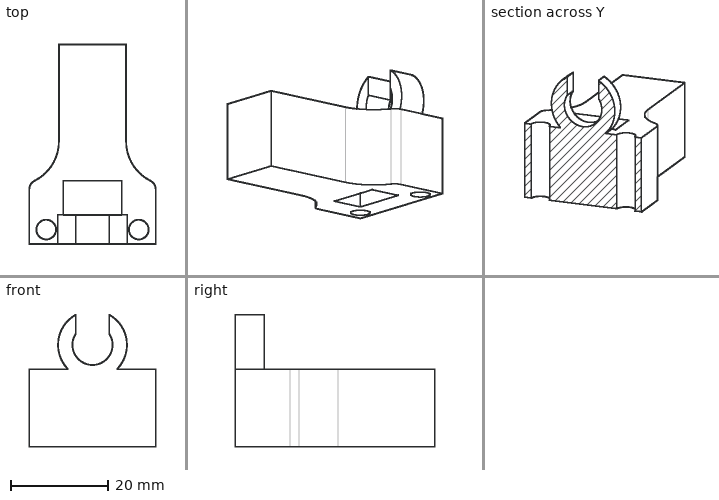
import cadquery as cq
import math

body_width = 26.0
body_length = 41.03
body_height = 16.0
stem_width = 13.85

shoulder_radius = 2.0
neck_radius = 9.0
shoulder_y = 11.25

window_width = 12.0
window_front = 6.0
window_back = 13.0

hole_diameter = 4.0
hole_spacing = 19.0
hole_y = 3.0

clip_inner_radius = 4.1
clip_wall = 3.0
clip_depth = 6.0
clip_gap = 6.85
total_height = 27.18

clip_outer_radius = clip_inner_radius + clip_wall
clip_center_z = total_height - math.sqrt(clip_outer_radius**2 - (clip_gap / 2) ** 2)


def make_body():
    """Extruded block: wide front, tangent S-shaped flanks, narrow stem."""
    half_width = body_width / 2
    half_stem = stem_width / 2
    radius_sum = shoulder_radius + neck_radius
    sweep = math.acos(1 - (half_width - half_stem) / radius_sum)
    neck_y = shoulder_y + radius_sum * math.sin(sweep)

    def shoulder_point(angle):
        x = half_width - shoulder_radius * (1 - math.cos(angle))
        return x, shoulder_y + shoulder_radius * math.sin(angle)

    def neck_point(angle):
        x = half_stem + neck_radius * (1 - math.cos(angle))
        return x, neck_y - neck_radius * math.sin(angle)

    def mirrored(point):
        return -point[0], point[1]

    shoulder_mid = shoulder_point(sweep / 2)
    inflection = shoulder_point(sweep)
    neck_mid = neck_point(sweep / 2)
    neck_end = neck_point(0)

    return (
        cq.Workplane("XY")
        .moveTo(-half_width, 0)
        .lineTo(half_width, 0)
        .lineTo(half_width, shoulder_y)
        .threePointArc(shoulder_mid, inflection)
        .threePointArc(neck_mid, neck_end)
        .lineTo(half_stem, body_length)
        .lineTo(-half_stem, body_length)
        .lineTo(*mirrored(neck_end))
        .threePointArc(mirrored(neck_mid), mirrored(inflection))
        .threePointArc(mirrored(shoulder_mid), (-half_width, shoulder_y))
        .close()
        .extrude(body_height)
    )


def make_window():
    """Rectangular opening through the full height."""
    return cq.Workplane("XY").box(
        window_width, window_back - window_front, body_height, centered=(True, False, False)
    ).translate((0, window_front, 0))


def make_screw_holes():
    """Two vertical through holes beside the clip."""
    half_spacing = hole_spacing / 2
    return (
        cq.Workplane("XY")
        .pushPoints([(-half_spacing, hole_y), (half_spacing, hole_y)])
        .circle(hole_diameter / 2)
        .extrude(body_height)
    )


def make_clip():
    """Ring along Y, open at the top; its base sinks into the body."""
    plane = cq.Workplane("XZ").center(0, clip_center_z)
    ring = plane.circle(clip_outer_radius).circle(clip_inner_radius).extrude(-clip_depth)
    gap = (
        cq.Workplane("XY")
        .box(clip_gap, clip_depth, clip_outer_radius, centered=(True, False, False))
        .translate((0, 0, clip_center_z))
    )
    return ring.cut(gap)


result = make_body().cut(make_window()).cut(make_screw_holes()).union(make_clip())